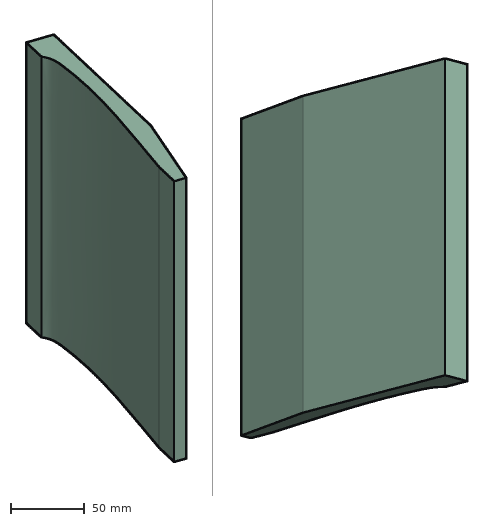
import cadquery as cq

WIDTH = 207.7
DEPTH = 21.5
HEIGHT = 223.5

LAND_WIDTH = 21.2

TAPER_START = 136.3
THIN_EDGE_DEPTH = 9.4

NOSE = (26.4, 3.8)
SHOULDER = (40.2, 7.0)
CROWN = (62.5, 8.3)
RUN_OUT = (111.8, 7.0)
TAIL = (149.8, 3.5)

hollow_end = (WIDTH - LAND_WIDTH, 0)

outline = (
    cq.Workplane("XY")
    .moveTo(0, 0)
    .lineTo(LAND_WIDTH, 0)
    .spline([NOSE, SHOULDER, CROWN, RUN_OUT, TAIL, hollow_end], includeCurrent=True)
    .lineTo(WIDTH, 0)
    .lineTo(WIDTH, THIN_EDGE_DEPTH)
    .lineTo(TAPER_START, DEPTH)
    .lineTo(0, DEPTH)
    .close()
)

result = outline.extrude(HEIGHT)